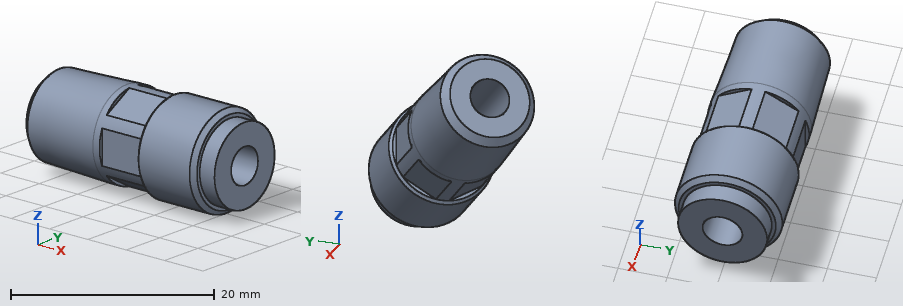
import cadquery as cq
import math

length = 24.9
nose_chamfer_end = 0.82
taper_end = 9.55
flats_start = 10.45
collar_start = 15.53
collar_end = 22.97

nose_face_radius = 4.1
taper_start_radius = 4.85
body_radius = 5.15
collar_diameter = 10.93
collar_radius = collar_diameter / 2
spigot_radius = 4.53
bore_radius = 2.02

front_chamfer = 0.3
rear_chamfer = 0.52

flat_count = 6
across_flats = 9.53


def turned_body():
    """Revolve the outer profile about X."""
    profile = [
        (0, 0),
        (0, nose_face_radius),
        (nose_chamfer_end, taper_start_radius),
        (taper_end, body_radius),
        (collar_start, body_radius),
        (collar_start, collar_radius - front_chamfer),
        (collar_start + front_chamfer, collar_radius),
        (collar_end - rear_chamfer, collar_radius),
        (collar_end, collar_radius - rear_chamfer),
        (collar_end, spigot_radius),
        (length, spigot_radius),
        (length, 0),
    ]
    return cq.Workplane("XZ").polyline(profile).close().revolve(360, (0, 0, 0), (1, 0, 0))


def flats_cutter():
    """Ring whose hexagonal opening leaves the wrench flats."""
    depth = collar_start - flats_start
    across_corners = across_flats / math.cos(math.pi / flat_count)
    base = cq.Workplane("YZ").workplane(offset=flats_start)
    hexagon = base.polygon(flat_count, across_corners).extrude(depth)
    hexagon = hexagon.rotate((0, 0, 0), (1, 0, 0), 180 / flat_count)
    return base.circle(collar_radius).extrude(depth).cut(hexagon)


bore = cq.Workplane("YZ").circle(bore_radius).extrude(length)
result = turned_body().cut(flats_cutter()).cut(bore)